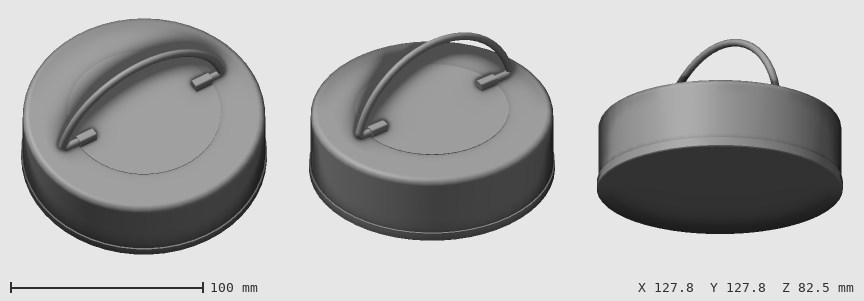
import cadquery as cq
import math

total_height = 82.5

base_diameter = 127.8
base_height = 5.0
base_edge_chamfer = 0.5

drum_diameter = 126.2
drum_top = 38.1
drum_edge_radius = 3.5

disc_diameter = 80.0
disc_thickness = 0.4
disc_top = drum_top + disc_thickness

bracket_length = 10.4
bracket_width = 5.0
bracket_height = 4.6
bracket_edge_radius = 1.0
foot_radius = 0.8
end_foot_radius = 0.4
bracket_outer_y = disc_diameter / 2
bracket_inner_y = bracket_outer_y - bracket_length

rod_diameter = 4.0
rod_radius = rod_diameter / 2
rod_clearance = 0.06
rod_axis_z = disc_top + rod_clearance + rod_radius
bend_inner_radius = 0.06
bend_radius = rod_radius + bend_inner_radius
arch_center_y = -1.5
arch_half_span = 46.0

pivot_z = rod_axis_z + bend_radius
pivot_rise = total_height - rod_radius - bend_radius - pivot_z
pivot_arc_radius = (arch_half_span**2 + pivot_rise**2) / (2 * pivot_rise)
arch_radius = pivot_arc_radius + bend_radius
arch_center_z = total_height - rod_radius - arch_radius
end_angle = math.asin((pivot_z - arch_center_z) / pivot_arc_radius)
end_angle_degrees = math.degrees(end_angle)
plus_pivot_y = arch_center_y + arch_half_span
minus_pivot_y = arch_center_y - arch_half_span


def make_base():
    """Flat round base with a small chamfer around its lower edge."""
    base = cq.Workplane("XY").circle(base_diameter / 2).extrude(base_height)
    return base.faces("<Z").chamfer(base_edge_chamfer)


def make_drum():
    """Plain drum with a rounded upper edge, standing on the base."""
    drum = cq.Workplane("XY", origin=(0, 0, base_height)).circle(drum_diameter / 2)
    return drum.extrude(drum_top - base_height).faces(">Z").edges().fillet(drum_edge_radius)


def make_bracket(side):
    """Block with rounded upper long edges and a concave foot; side is +1 or -1 along Y.

    It is the cross-section extruded along Y, trimmed by the side outline extruded along X.
    """
    half_width = bracket_width / 2
    half_foot = half_width + foot_radius
    foot_top = disc_top + foot_radius
    bracket_top = disc_top + bracket_height
    cross_section = (
        cq.Workplane("XZ", origin=(0, max(side * bracket_inner_y, side * bracket_outer_y), 0))
        .moveTo(-half_foot, disc_top)
        .lineTo(half_foot, disc_top)
        .radiusArc((half_width, foot_top), foot_radius)
        .lineTo(half_width, bracket_top - bracket_edge_radius)
        .radiusArc((half_width - bracket_edge_radius, bracket_top), -bracket_edge_radius)
        .lineTo(-half_width + bracket_edge_radius, bracket_top)
        .radiusArc((-half_width, bracket_top - bracket_edge_radius), -bracket_edge_radius)
        .lineTo(-half_width, foot_top)
        .radiusArc((-half_foot, disc_top), foot_radius)
        .close()
        .extrude(bracket_length)
    )
    inner_face_y = bracket_inner_y + end_foot_radius
    side_outline = (
        cq.Workplane("YZ")
        .moveTo(side * bracket_outer_y, disc_top)
        .lineTo(side * bracket_inner_y, disc_top)
        .radiusArc((side * inner_face_y, disc_top + end_foot_radius), -side * end_foot_radius)
        .lineTo(side * inner_face_y, bracket_top)
        .lineTo(side * bracket_outer_y, bracket_top)
        .close()
        .extrude(half_foot, both=True)
    )
    return cross_section.intersect(side_outline)


def make_leg(side, pivot_y):
    """Straight rod from the outer end of a bracket to the bend."""
    plane = cq.Plane(origin=(0, side * bracket_outer_y, rod_axis_z), xDir=(1, 0, 0), normal=(0, side, 0))
    return cq.Workplane(plane).circle(rod_radius).extrude(abs(pivot_y) - bracket_outer_y)


def make_arch():
    """Circular arch of rod between the two bends."""
    start_y = arch_center_y + arch_radius * math.cos(end_angle)
    end_y = arch_center_y - arch_radius * math.cos(end_angle)
    end_z = arch_center_z + arch_radius * math.sin(end_angle)
    path = (
        cq.Workplane("YZ")
        .moveTo(start_y, end_z)
        .threePointArc((arch_center_y, arch_center_z + arch_radius), (end_y, end_z))
    )
    tangent = (0, -math.sin(end_angle), math.cos(end_angle))
    start = cq.Plane(origin=(0, start_y, end_z), xDir=(1, 0, 0), normal=tangent)
    return cq.Workplane(start).circle(rod_radius).sweep(path)


def make_round_bend():
    """Bend at +Y, turned about its pivot."""
    section = cq.Workplane("XZ", origin=(0, plus_pivot_y, rod_axis_z)).circle(rod_radius)
    return section.revolve(90 + end_angle_degrees, (0, bend_radius, 0), (1, bend_radius, 0))


def make_straight_bend():
    """Bend at -Y, a straight-sided wedge between the ends of the leg and the arch."""
    leg_end = cq.Wire.makeCircle(rod_radius, cq.Vector(0, minus_pivot_y, rod_axis_z), cq.Vector(0, -1, 0))
    arch_end = cq.Wire.makeCircle(
        rod_radius,
        cq.Vector(
            0,
            minus_pivot_y - bend_radius * math.cos(end_angle),
            pivot_z + bend_radius * math.sin(end_angle),
        ),
        cq.Vector(0, math.sin(end_angle), math.cos(end_angle)),
    )
    return cq.Workplane(cq.Solid.makeLoft([leg_end, arch_end], True))


def make_handle():
    """Mounting disc, two brackets and the bent rod as one piece."""
    handle = cq.Workplane("XY", origin=(0, 0, drum_top)).circle(disc_diameter / 2).extrude(disc_thickness)
    for side, pivot_y in ((1, plus_pivot_y), (-1, minus_pivot_y)):
        handle = handle.union(make_bracket(side)).union(make_leg(side, pivot_y))
    return handle.union(make_round_bend()).union(make_straight_bend()).union(make_arch()).solids()


base = make_base()
drum = make_drum()
handle = make_handle()

result = cq.Compound.makeCompound([base.val(), drum.val(), handle.val()])